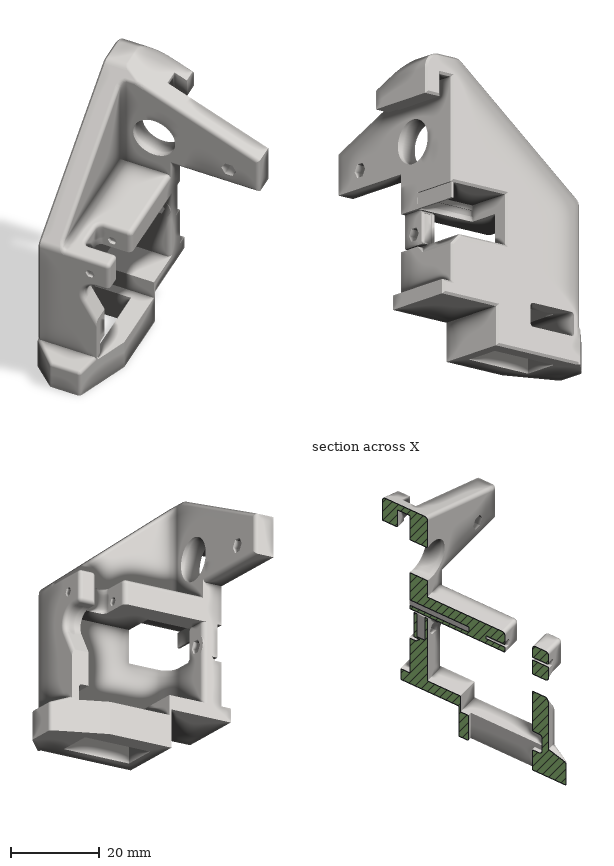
import cadquery as cq
import math

body_width = 17.8
arm_end_x = 39.7
height = 65.35
hook_back_y = 50.1

front_face_y = 4.8
front_wall_back_y = 9.2
slant_back_y = 12.9
block_front_y = 16.65
window_front_y = 26.6
base_back_y = 29.3
rear_wall_front_y = 37.7
slope_top_y = 40.25
rear_face_y = 42.65
tab_back_y = 45.1
hook_inner_y = 45.9

base_top_z = 7.8
tab_bottom_z = 9.2
tab_top_z = 12.6
window_bottom_z = 24.1
block_bottom_z = 32.15
window_top_z = 36.0
shelf_z = 38.3
arm_bottom_z = 41.55
arm_tip_z = 51.2
hook_bottom_z = 55.4
hook_ceiling_z = 60.65

side_wall = 5.6
side_skin = 4.05
post_x = 11.95
base_x = 13.1
notch_x = 9.5
top_slope_x = 5.5

edge_chamfer = 0.5
edge_fillet = 0.9
inner_fillet = 0.9
hook_radius = 3.8
cavity_radius = 3.25
notch_radius = 1.3
top_crest_radius = 2.95
front_crest_radius = 1.95
inside_radius = 1.1
shelf_fillet = 1.1
rear_wall_fillet = 1.1

big_hole = (13.65, 48.3)
big_hole_diameter = 10.45
arm_hole = (32.2, 45.8)
arm_hole_across = 3.65
screw_hole = (14.7, 26.9)
screw_hole_across = 3.45
screw_pad_radius = 2.95
small_hole = (13.0, 34.2)
small_hole_across = 2.2
small_hole_depth = 17.0
scoop_radius = 3.6
scoop_end_z = 14.4

foot_left_x = 5.3
foot_right_x = 12.7
foot_top_z = 8.6
foot_toe_z = 7.0
foot_fillet = 0.85

slot_front_y = 6.65
slot_back_y = 19.5
slot_bottom_z = 6.3
slot_top_z = 11.9
slot_radius = 0.8

groove_depth = 0.2
groove_width = 1.5
post_groove_width = 2.0
post_back_y = 41.5
post_slope = 0.6
ledge_z = 23.25
corner_cut = 2.6

sheet_thickness = 0.6
sheet_top_z = 35.8

hook_notch_x = 14.7
hook_notch_y = 46.4

lower_wall_x = 14.6

FAR = 130.7


def box(x0, x1, y0, y1, z0, z1):
    return cq.Workplane("XY").box(x1 - x0, y1 - y0, z1 - z0, centered=False).translate((x0, y0, z0))


def along_y(outline, y0, y1):
    """Extrude an (x, z) outline from y0 to y1."""
    return cq.Workplane("XZ", origin=(0, y0, 0)).polyline(outline).close().extrude(y0 - y1)


def hex_bore(centre, across_corners, y0, y1):
    """Hexagonal bore along Y with corners pointing along X."""
    return (
        cq.Workplane("XZ", origin=(0, y0, 0))
        .center(*centre)
        .polygon(6, across_corners)
        .extrude(y0 - y1)
    )


def fillet_near(body, points, radius):
    """Round, in one go, the edges whose midpoints lie nearest to the given points."""
    edges = body.newObject([])
    for point in points:
        edges = edges.add(body.edges(cq.selectors.NearestToPointSelector(point)))
    return edges.fillet(radius)


def side_profile():
    """Left-wall outline with hook, tab, window and sloping front, extruded over the full width."""
    arc_mid = hook_radius * (1 - math.sqrt(0.5))
    profile = (
        cq.Workplane("YZ")
        .moveTo(front_face_y, 0)
        .lineTo(front_face_y, shelf_z)
        .lineTo(slope_top_y, height)
        .lineTo(hook_back_y - hook_radius, height)
        .threePointArc((hook_back_y - arc_mid, height - arc_mid), (hook_back_y, height - hook_radius))
        .lineTo(hook_back_y, hook_bottom_z)
        .lineTo(hook_inner_y, hook_bottom_z)
        .lineTo(hook_inner_y, hook_ceiling_z)
        .lineTo(rear_face_y, hook_ceiling_z)
        .lineTo(rear_face_y, window_top_z)
        .lineTo(window_front_y, window_top_z)
        .lineTo(window_front_y, window_bottom_z)
        .lineTo(rear_face_y - corner_cut, window_bottom_z)
        .lineTo(rear_face_y, window_bottom_z - corner_cut)
        .lineTo(rear_face_y, tab_top_z)
        .lineTo(tab_back_y, tab_top_z)
        .lineTo(tab_back_y, tab_bottom_z)
        .lineTo(base_back_y, tab_bottom_z)
        .lineTo(base_back_y, 0)
        .close()
        .extrude(body_width)
    )
    middle = body_width / 2
    profile = fillet_near(profile, [(middle, slope_top_y, height)], top_crest_radius)
    profile = fillet_near(profile, [(middle, front_face_y, shelf_z)], front_crest_radius)
    return profile.faces("<X").edges().chamfer(edge_chamfer)


def cut_shelf(body):
    """Clear the space over the block, leaving the left wall and the rear plate."""
    space = box(side_wall, FAR, -FAR, rear_wall_front_y, shelf_z, FAR)
    return body.cut(space)


def round_upper_edges(body):
    """Hollow roundings around the shelf, then outer roundings on the sloping wall and the arm."""
    shelf_mid_y = (front_face_y + rear_wall_front_y) / 2
    wall_mid_z = (shelf_z + height) / 2
    body = fillet_near(
        body,
        [
            (side_wall, rear_wall_front_y, wall_mid_z),
            (side_wall, shelf_mid_y, shelf_z),
        ],
        inside_radius,
    )
    body = fillet_near(body, [(side_wall, shelf_mid_y, wall_mid_z)], inner_fillet)
    arm_mid_x = (side_wall + arm_end_x) / 2
    return fillet_near(
        body,
        [
            (arm_mid_x, rear_wall_front_y, (height + arm_tip_z) / 2),
            (arm_end_x, rear_wall_front_y, (arm_bottom_z + arm_tip_z) / 2),
            ((body_width + arm_end_x) / 2, rear_wall_front_y, arm_bottom_z),
        ],
        inner_fillet,
    )


def round_notch(body):
    """Round the rim of the opening between the block and the front wall."""
    rim_x = (notch_x + body_width) / 2
    body = fillet_near(
        body,
        [
            (rim_x, block_front_y, shelf_z),
            (notch_x, (front_wall_back_y + block_front_y) / 2, shelf_z),
            (rim_x, front_wall_back_y, shelf_z),
        ],
        edge_fillet,
    )
    return fillet_near(
        body, [(body_width, (block_front_y + rear_wall_front_y) / 2, shelf_z)], shelf_fillet
    )


def round_scoop(body):
    """Round the front rim of the screw access."""
    x, z = screw_hole
    return fillet_near(
        body,
        [
            (x - scoop_radius, front_face_y, z + scoop_radius),
            (body_width, front_face_y, z + scoop_radius),
            (x, front_face_y, z - scoop_radius),
        ],
        inner_fillet,
    )


def arm():
    """Flat plate reaching to +X."""
    return along_y(
        [
            (body_width, arm_bottom_z),
            (arm_end_x, arm_bottom_z),
            (arm_end_x, arm_tip_z),
            (body_width, height),
        ],
        rear_wall_front_y,
        rear_face_y,
    )


def top_slope():
    """Everything above the line falling from the left wall to the tip of the arm."""
    fall = (height - arm_tip_z) / (arm_end_x - top_slope_x)
    return along_y(
        [(top_slope_x, height), (FAR, height - fall * (FAR - top_slope_x)), (FAR, FAR), (top_slope_x, FAR)],
        -FAR,
        FAR,
    )


def cavity():
    """Hollow behind the left wall, open to +X, with one round vertical corner."""
    hollow = box(side_skin, FAR, front_wall_back_y, rear_wall_front_y, base_top_z, block_bottom_z)
    hollow = hollow.edges("|Z and <X and >Y").fillet(cavity_radius)
    return hollow.cut(box(0, FAR, base_back_y - edge_chamfer, FAR, 0, tab_top_z))


def block_notch():
    """Opening from above between the block and the front wall."""
    notch = box(notch_x, FAR, front_wall_back_y, block_front_y, base_top_z, FAR)
    return notch.edges("|Z and <X").fillet(notch_radius)


def window_filling():
    """Block and post on the far side of the window, facing -X."""
    bar = box(post_x, body_width, window_front_y, rear_face_y, block_bottom_z, window_top_z)
    bar_mid_z = (block_bottom_z + window_top_z) / 2
    bar = bar.cut(
        box(
            post_x,
            post_x + groove_depth,
            window_front_y,
            rear_face_y,
            bar_mid_z - groove_width / 2,
            bar_mid_z + groove_width / 2,
        )
    )
    post = along_y(
        [
            (post_x - post_slope, window_bottom_z),
            (post_x, window_bottom_z + post_slope),
            (post_x, block_bottom_z - post_slope),
            (post_x + post_slope, block_bottom_z),
            (body_width, block_bottom_z),
            (body_width, window_bottom_z),
        ],
        rear_wall_front_y,
        post_back_y,
    )
    post_mid_y = (rear_wall_front_y + post_back_y) / 2
    post = post.cut(
        box(
            post_x,
            post_x + groove_depth,
            post_mid_y - post_groove_width / 2,
            post_mid_y + post_groove_width / 2,
            window_bottom_z + post_slope,
            block_bottom_z - post_slope,
        )
    )
    ledge_rise = ledge_z - (window_bottom_z - corner_cut)
    ledge = along_y(
        [
            (post_x - ledge_rise, ledge_z - ledge_rise),
            (post_x, ledge_z),
            (body_width, ledge_z),
            (body_width, ledge_z - ledge_rise),
        ],
        rear_wall_front_y,
        rear_face_y,
    )
    return bar.union(post).union(ledge)


def foot():
    """Tapered toe with a sloping, rounded top."""
    toe = (
        cq.Workplane("XY")
        .polyline(
            [
                (0, front_face_y),
                (foot_left_x, 0),
                (foot_right_x, 0),
                (body_width, slant_back_y),
                (0, slant_back_y),
            ]
        )
        .close()
        .extrude(foot_top_z)
    )
    drop = (foot_top_z - foot_toe_z) / front_face_y
    lid = (
        cq.Workplane("YZ")
        .polyline(
            [
                (0, foot_toe_z),
                (front_face_y, foot_top_z),
                (front_face_y, FAR),
                (-FAR, FAR),
                (-FAR, foot_toe_z - drop * FAR),
            ]
        )
        .close()
        .extrude(FAR)
    )
    toe = toe.cut(lid).intersect(box(0, body_width, 0, front_face_y + edge_chamfer, 0, foot_top_z))
    toe = fillet_near(
        toe,
        [
            ((foot_left_x + foot_right_x) / 2, 0, foot_toe_z),
            (foot_left_x / 2, front_face_y / 2, foot_top_z),
            (slant_x(front_face_y / 2), front_face_y / 2, foot_top_z),
        ],
        foot_fillet,
    )
    return fillet_near(
        toe, [(foot_left_x, 0, foot_toe_z / 2), (foot_right_x, 0, foot_toe_z / 2)], foot_fillet
    )


def slant_x(y):
    """Position of the slanted side at depth y."""
    return foot_right_x + (body_width - foot_right_x) * y / slant_back_y


def slant_cut():
    """Removes the lower right corner of the front wall and base along the foot's slanted side."""
    return (
        cq.Workplane("XY")
        .polyline(
            [
                (body_width, slant_back_y),
                (slant_x(-0.65), -0.65),
                (FAR, -0.65),
                (FAR, slant_back_y),
            ]
        )
        .close()
        .extrude(screw_hole[1])
    )


def scoop():
    """Half-round opening in the front wall giving access to the screw, tapering downwards to +X."""
    x, z = screw_hole
    dx = body_width - x
    dz = scoop_end_z - z
    angle = math.atan2(dz, dx) - math.acos(scoop_radius / math.hypot(dx, dz))
    tangent = (x + scoop_radius * math.cos(angle), z + scoop_radius * math.sin(angle))
    beyond = 2 * body_width - tangent[0]
    return (
        cq.Workplane("XZ", origin=(0, -0.65, 0))
        .moveTo(x, z + scoop_radius)
        .threePointArc((x - scoop_radius, z), tangent)
        .lineTo(beyond, 2 * scoop_end_z - tangent[1])
        .lineTo(beyond, z + scoop_radius)
        .close()
        .extrude(-0.65 - front_wall_back_y - edge_fillet)
    )


def screw_pad():
    """Flat round seat for the screw head, flush with the rear wall and crossing its rounded edge."""
    return (
        cq.Workplane("XZ", origin=(0, rear_wall_front_y, 0))
        .center(*screw_hole)
        .circle(screw_pad_radius)
        .extrude(rear_wall_front_y - post_back_y)
        .intersect(box(screw_hole[0], body_width, rear_wall_front_y, post_back_y, window_bottom_z, FAR))
    )


def cable_slot():
    """Rounded slot through the left wall, passing over the base."""
    slot = box(-0.65, FAR, slot_front_y, slot_back_y, slot_bottom_z, slot_top_z)
    base = box(base_x, FAR, 0, slot_back_y, 0, base_top_z)
    return slot.edges("|X").fillet(slot_radius).cut(base)


def build_bracket():
    body = cut_shelf(side_profile())
    body = body.union(arm()).union(window_filling())
    body = round_upper_edges(body.cut(top_slope()))
    body = body.cut(cavity()).cut(block_notch())
    body = body.cut(box(side_skin, base_x, front_wall_back_y, window_front_y, -0.65, base_top_z))
    body = round_notch(body)
    body = body.cut(slant_cut())
    body = body.cut(box(lower_wall_x, FAR, 0, slant_back_y, base_top_z, screw_hole[1]))
    body = round_scoop(body.cut(scoop()))
    upper_wall_z = (screw_hole[1] + shelf_z) / 2
    body = fillet_near(body, [(body_width, front_face_y, upper_wall_z)], edge_fillet)
    body = body.cut(cable_slot())
    rear_wall_mid_z = (base_top_z + block_bottom_z) / 2
    body = fillet_near(body, [(body_width, rear_wall_front_y, rear_wall_mid_z)], rear_wall_fillet)
    body = body.union(screw_pad()).union(foot())
    body = body.cut(box(hook_notch_x, FAR, rear_face_y, hook_notch_y, hook_bottom_z, FAR))
    body = body.cut(
        cq.Workplane("XZ", origin=(0, rear_wall_front_y - 0.65, 0))
        .center(*big_hole)
        .circle(big_hole_diameter / 2)
        .extrude(-FAR)
    )
    body = body.cut(hex_bore(arm_hole, arm_hole_across, rear_wall_front_y - 0.65, FAR))
    body = body.cut(hex_bore(screw_hole, screw_hole_across, rear_wall_front_y - 0.65, FAR))
    body = body.cut(hex_bore(small_hole, small_hole_across, front_face_y, front_face_y + small_hole_depth))
    return body


bracket = build_bracket()
support_sheet = box(
    0, post_x, rear_face_y - sheet_thickness, rear_face_y, block_bottom_z, sheet_top_z
)

result = cq.Compound.makeCompound([bracket.val(), support_sheet.val()])